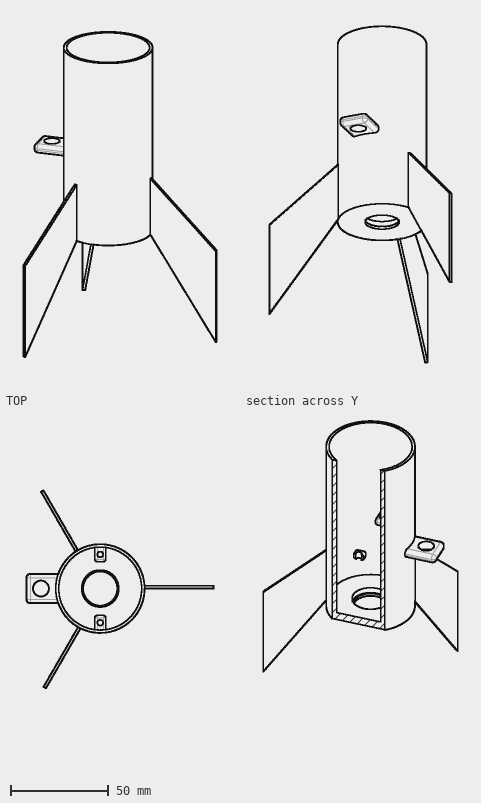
import cadquery as cq

TOP_Z = 154.7
TUBE_LENGTH = 99.9
TUBE_OUTER_RADIUS = 45.6 / 2
TUBE_INNER_RADIUS = 42.5 / 2
TUBE_BOTTOM_Z = TOP_Z - TUBE_LENGTH

FLOOR_THICKNESS = 4.6
MOTOR_BORE_DIAMETER = 19.0
MOTOR_LIP_DIAMETER = 17.5
MOTOR_LIP_THICKNESS = 1.5

LUG_MIDDLE_Z = 97.3
GUIDE_LUG_REACH = 37.9
GUIDE_LUG_WIDTH = 15.0
GUIDE_LUG_THICKNESS = 5.0
GUIDE_LUG_ROUNDING = 2.0
GUIDE_HOLE_DIAMETER = 8.0
GUIDE_HOLE_RADIUS = GUIDE_LUG_REACH - GUIDE_LUG_WIDTH / 2
GUIDE_LUG_ANGLE = 180

CORD_LUG_INNER_RADIUS = 13.8
CORD_LUG_ROOT_RADIUS = (TUBE_INNER_RADIUS + TUBE_OUTER_RADIUS) / 2
CORD_LUG_WIDTH = 5.5
CORD_LUG_THICKNESS = 3.7
CORD_LUG_ROUNDING = 1.2
CORD_HOLE_DIAMETER = 3.0
CORD_HOLE_RADIUS = (CORD_LUG_INNER_RADIUS + TUBE_INNER_RADIUS) / 2
CORD_LUG_ANGLES = (90, 270)

FIN_COUNT = 3
FIN_THICKNESS = 1.5
FIN_TIP_RADIUS = 58.2
FIN_TIP_HEIGHT = 50.0
FIN_ROOT_HEIGHT = 30.8


def cylinder(radius, bottom_z, top_z):
    """Upright cylinder on the tube axis."""
    return cq.Workplane("XY").workplane(offset=bottom_z).circle(radius).extrude(top_z - bottom_z)


def turned(body, angle):
    """Copy of a body turned about the tube axis."""
    return body.rotate((0, 0, 0), (0, 0, 1), angle)


def lug_tab(inner_radius, outer_radius, width, thickness, free_face, rounding):
    """Tab along +X between two radii, rounded along its sides and around its free end."""
    middle = ((inner_radius + outer_radius) / 2, 0, LUG_MIDDLE_Z)
    block = cq.Workplane("XY").box(outer_radius - inner_radius, width, thickness).translate(middle)
    return block.edges("|X").add(block.faces(free_face).edges()).fillet(rounding)


def lug_hole(diameter, distance, thickness):
    """Upright hole through a lug on +X, at a distance from the tube axis."""
    half = thickness / 2
    return cylinder(diameter / 2, LUG_MIDDLE_Z - half, LUG_MIDDLE_Z + half).translate((distance, 0, 0))


def make_guide_lug():
    """Outer lug, following the tube bore at its root so that it joins the full wall."""
    lug = lug_tab(0, GUIDE_LUG_REACH, GUIDE_LUG_WIDTH, GUIDE_LUG_THICKNESS, ">X", GUIDE_LUG_ROUNDING)
    lug = lug.cut(cylinder(TUBE_INNER_RADIUS, TUBE_BOTTOM_Z, TOP_Z))
    lug = lug.cut(lug_hole(GUIDE_HOLE_DIAMETER, GUIDE_HOLE_RADIUS, GUIDE_LUG_THICKNESS))
    return turned(lug, GUIDE_LUG_ANGLE)


def make_cord_lug(angle):
    """Inner lug, its free end pointing at the tube axis."""
    lug = lug_tab(
        CORD_LUG_INNER_RADIUS, CORD_LUG_ROOT_RADIUS,
        CORD_LUG_WIDTH, CORD_LUG_THICKNESS, "<X", CORD_LUG_ROUNDING,
    )
    lug = lug.cut(lug_hole(CORD_HOLE_DIAMETER, CORD_HOLE_RADIUS, CORD_LUG_THICKNESS))
    return turned(lug, angle)


def make_body_tube():
    """Tube with its floor, stepped motor hole and lugs, all in one piece."""
    floor_top_z = TUBE_BOTTOM_Z + FLOOR_THICKNESS
    lip_top_z = TUBE_BOTTOM_Z + MOTOR_LIP_THICKNESS
    tube = cylinder(TUBE_OUTER_RADIUS, TUBE_BOTTOM_Z, TOP_Z)
    tube = tube.cut(cylinder(TUBE_INNER_RADIUS, floor_top_z, TOP_Z))
    tube = tube.cut(cylinder(MOTOR_BORE_DIAMETER / 2, lip_top_z, floor_top_z))
    tube = tube.cut(cylinder(MOTOR_LIP_DIAMETER / 2, TUBE_BOTTOM_Z, lip_top_z))
    tube = tube.union(make_guide_lug())
    for angle in CORD_LUG_ANGLES:
        tube = tube.union(make_cord_lug(angle))
    return tube


def make_fin(angle):
    """Swept plate whose root edge follows the outside of the tube."""
    root_top_z = TUBE_BOTTOM_Z + FIN_ROOT_HEIGHT
    fin = (
        cq.Workplane("XZ")
        .moveTo(TUBE_INNER_RADIUS, TUBE_BOTTOM_Z)
        .lineTo(TUBE_OUTER_RADIUS, TUBE_BOTTOM_Z)
        .lineTo(FIN_TIP_RADIUS, 0)
        .lineTo(FIN_TIP_RADIUS, FIN_TIP_HEIGHT)
        .lineTo(TUBE_OUTER_RADIUS, root_top_z)
        .lineTo(TUBE_INNER_RADIUS, root_top_z)
        .close()
        .extrude(-FIN_THICKNESS)
    )
    fin = fin.cut(cylinder(TUBE_OUTER_RADIUS, TUBE_BOTTOM_Z, TOP_Z))
    return turned(fin, angle)


body_tube = make_body_tube()
fins = [make_fin(360 / FIN_COUNT * index) for index in range(FIN_COUNT)]

result = cq.Compound.makeCompound([body_tube.solids().val(), *[fin.solids().val() for fin in fins]])